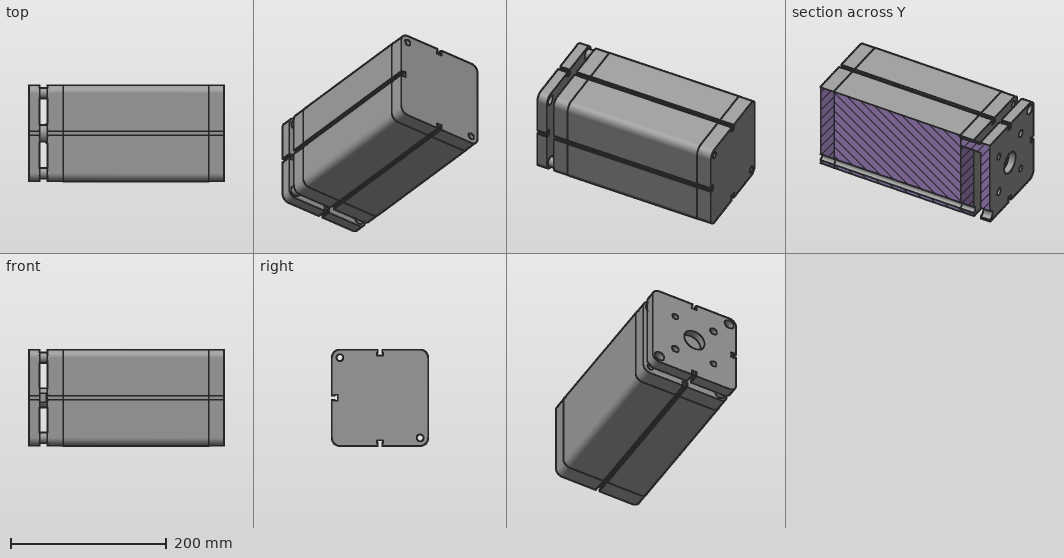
import cadquery as cq


BARREL_SIDE = 124.0
CAP_SIDE = 123.5
CORNER_OFFSET = 51.5

TOTAL_LENGTH = 251.0
PLATE_THICKNESS = 14.0
GAP = 10.0
CAP_LENGTH = 20.0
FRONT_CAP_START = PLATE_THICKNESS + GAP
BARREL_START = FRONT_CAP_START + CAP_LENGTH
REAR_CAP_START = TOTAL_LENGTH - CAP_LENGTH
BARREL_LENGTH = REAR_CAP_START - BARREL_START

SLOT_NECK_WIDTH = 5.6
SLOT_WIDTH = 7.4
SLOT_DEPTH = 7.2
CAP_SLOT_LIP = 3.0
BARREL_SLOT_LIP = 4.0
SLOT_ANGLES = (0, 90, 180)

BOLT_CORNERS = [(-CORNER_OFFSET, CORNER_OFFSET), (CORNER_OFFSET, -CORNER_OFFSET)]
BOLT_HOLE_DIAMETER = 8.5
BOLT_ACCESS_DIAMETER = 13.5

GUIDE_CORNERS = [(CORNER_OFFSET, CORNER_OFFSET), (-CORNER_OFFSET, -CORNER_OFFSET)]
GUIDE_DIAMETER = 14.0

ROD_DIAMETER = 25.0
ROD_ACROSS_FLATS = 22.0
FLAT_LENGTH = 8.5

RECESS_DIAMETER = 30.0
RECESS_DEPTH = 10.0
PATTERN_OFFSET = 28.3
THREAD_HOLE_DIAMETER = 10.0
DOWEL_HOLE_DIAMETER = 8.5
THREAD_POINTS = [(-PATTERN_OFFSET, PATTERN_OFFSET), (PATTERN_OFFSET, -PATTERN_OFFSET)]
DOWEL_POINTS = [(PATTERN_OFFSET, PATTERN_OFFSET), (-PATTERN_OFFSET, -PATTERN_OFFSET)]


def cylinders(points, diameter, start, length):
    """Cylinders along X with their axes at the given (Y, Z) points."""
    return cq.Workplane("YZ", origin=(start, 0, 0)).pushPoints(points).circle(diameter / 2).extrude(length)


def t_slot(start, length, side, lip):
    """Cutter for the T-slot in the top face of a section with the given side."""
    skin = side / 2
    ledge = skin - lip
    floor = CAP_SIDE / 2 - SLOT_DEPTH
    return (
        cq.Workplane("YZ", origin=(start, 0, 0))
        .moveTo(SLOT_NECK_WIDTH / 2, skin)
        .lineTo(SLOT_NECK_WIDTH / 2, ledge)
        .lineTo(SLOT_WIDTH / 2, ledge)
        .lineTo(SLOT_WIDTH / 2, floor)
        .lineTo(-SLOT_WIDTH / 2, floor)
        .lineTo(-SLOT_WIDTH / 2, ledge)
        .lineTo(-SLOT_NECK_WIDTH / 2, ledge)
        .lineTo(-SLOT_NECK_WIDTH / 2, skin)
        .close()
        .extrude(length)
    )


def slotted_block(start, length, side=CAP_SIDE, lip=CAP_SLOT_LIP):
    """Square block with rounded corners and the three T-slots."""
    block = (
        cq.Workplane("YZ", origin=(start, 0, 0))
        .rect(side, side)
        .extrude(length)
        .edges("|X")
        .fillet(side / 2 - CORNER_OFFSET)
    )
    slot = t_slot(start, length, side, lip)
    for angle in SLOT_ANGLES:
        block = block.cut(slot.rotate((0, 0, 0), (1, 0, 0), angle))
    return block


def housing_section(start, length, side=CAP_SIDE, lip=CAP_SLOT_LIP):
    """Slotted block with the bolt holes that run the length of the housing."""
    bolt_holes = cylinders(BOLT_CORNERS, BOLT_HOLE_DIAMETER, start, length)
    return slotted_block(start, length, side, lip).cut(bolt_holes)


def make_yoke():
    """Plate with its two guide rods, which run through the front cap."""
    plate = slotted_block(0, PLATE_THICKNESS)
    plate = plate.cut(cylinders([(0, 0)], RECESS_DIAMETER, 0, RECESS_DEPTH))
    plate = plate.cut(cylinders(BOLT_CORNERS, BOLT_ACCESS_DIAMETER, 0, PLATE_THICKNESS))
    plate = plate.cut(cylinders(THREAD_POINTS, THREAD_HOLE_DIAMETER, 0, PLATE_THICKNESS))
    plate = plate.cut(cylinders(DOWEL_POINTS, DOWEL_HOLE_DIAMETER, 0, PLATE_THICKNESS))
    guides = cylinders(GUIDE_CORNERS, GUIDE_DIAMETER, PLATE_THICKNESS, BARREL_START - PLATE_THICKNESS)
    return plate.union(guides)


def make_piston_rod():
    """Rod from the back of the plate through the front cap, flattened on its +Y and -Y sides."""
    rod = cylinders([(0, 0)], ROD_DIAMETER, PLATE_THICKNESS, BARREL_START - PLATE_THICKNESS)
    for side in (1, -1):
        flat = cq.Workplane("XY").box(FLAT_LENGTH, ROD_DIAMETER, ROD_DIAMETER).translate(
            (PLATE_THICKNESS + FLAT_LENGTH / 2, side * (ROD_ACROSS_FLATS + ROD_DIAMETER) / 2, 0)
        )
        rod = rod.cut(flat)
    return rod


def make_front_cap():
    """Cap bored for the piston rod and the guide rods."""
    cap = housing_section(FRONT_CAP_START, CAP_LENGTH)
    cap = cap.cut(cylinders([(0, 0)], ROD_DIAMETER, FRONT_CAP_START, CAP_LENGTH))
    return cap.cut(cylinders(GUIDE_CORNERS, GUIDE_DIAMETER, FRONT_CAP_START, CAP_LENGTH))


yoke = make_yoke()
piston_rod = make_piston_rod()
front_cap = make_front_cap()
barrel = housing_section(BARREL_START, BARREL_LENGTH, BARREL_SIDE, BARREL_SLOT_LIP)
rear_cap = housing_section(REAR_CAP_START, CAP_LENGTH)

result = cq.Compound.makeCompound(
    [yoke.val(), piston_rod.val(), front_cap.val(), barrel.val(), rear_cap.val()]
)